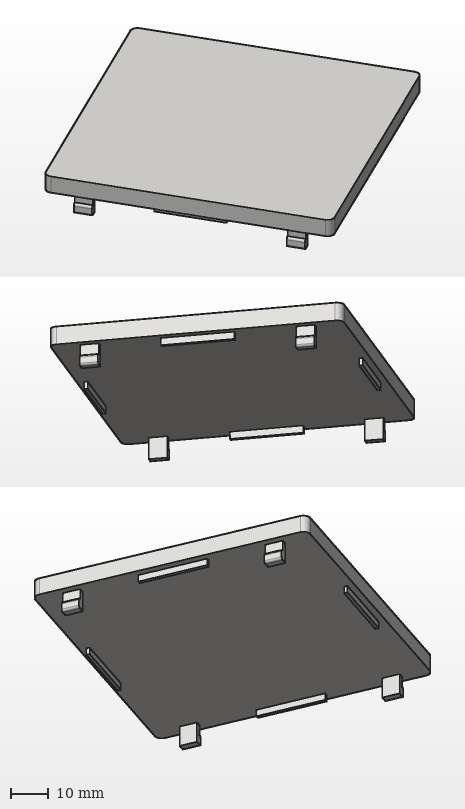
import cadquery as cq

plate_size = 80.0
plate_thickness = 5.0
corner_radius = 2.0

edge_inset = 2.0
rib_length = 20.0
rib_thickness = 1.0
rib_height = 2.0

hook_width = 5.0
hook_edge_distance = 8.0
leg_thickness = 1.7
leg_height = 6.0
barb_reach = 0.8
barb_top_depth = 3.0
barb_edge_radius = 0.6

outer_face = plate_size / 2 - edge_inset


def make_plate():
    blank = cq.Workplane("XY").rect(plate_size, plate_size).extrude(plate_thickness)
    return blank.edges("|Z").fillet(corner_radius)


def make_rib():
    """Rib under the front (-Y) side."""
    return (
        cq.Workplane("XY")
        .center(0, rib_thickness / 2 - outer_face)
        .rect(rib_length, rib_thickness)
        .extrude(-rib_height)
    )


def make_hook(center_x):
    """Leg under the front (-Y) side with a rounded barb facing outward."""
    leg = (
        cq.Workplane("XY")
        .center(center_x, leg_thickness / 2 - outer_face)
        .rect(hook_width, leg_thickness)
        .extrude(-leg_height)
    )
    barb = (
        cq.Workplane("XY", origin=(0, 0, -barb_top_depth))
        .center(center_x, -barb_reach / 2 - outer_face)
        .rect(hook_width, barb_reach)
        .extrude(barb_top_depth - leg_height)
        .faces("<Y")
        .edges("|X")
        .fillet(barb_edge_radius)
    )
    return leg.union(barb)


def turned(body, angle):
    return body.rotate((0, 0, 0), (0, 0, 1), angle)


result = make_plate()

for angle in (0, 90, 180, 270):
    result = result.union(turned(make_rib(), angle))

hook_center_x = plate_size / 2 - hook_edge_distance - hook_width / 2
for angle in (0, 180):
    for center_x in (-hook_center_x, hook_center_x):
        result = result.union(turned(make_hook(center_x), angle))